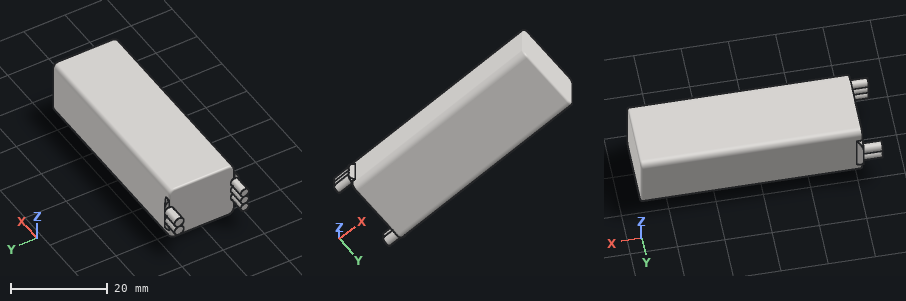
import cadquery as cq

overall_length = 51.0
lead_length = 4.05
case_width = 15.95
case_height = 13.5
case_edge_radius = 1.5
case_end_radius = 0.5
case_front = lead_length
case_length = overall_length - lead_length

small_lead_diameter = 2.0
small_lead_count = 3
large_lead_diameter = 2.25
large_lead_count = 2

lug_height = 9.05
small_lug_length = 0.95
small_lug_corner_radius = 1.95
large_lug_length = 1.35
large_lug_corner_radius = 2.5


def make_case():
    """Rounded box with its length along X."""
    case = cq.Workplane("XY").box(
        case_length, case_width, case_height, centered=(False, True, True)
    )
    case = case.translate((case_front, 0, 0))
    case = case.edges("|X").fillet(case_edge_radius)
    return case.faces("<X or >X").edges().fillet(case_end_radius)


def make_lug(side, depth, length, height, corner_radius):
    """Wedge on one side face (side is -1 or +1), flush with the front and sloping back to the case."""
    root = side * case_width / 2
    tip = root + side * depth
    wedge = (
        cq.Workplane("XY", origin=(0, 0, -height / 2))
        .moveTo(case_front, root)
        .lineTo(case_front, tip)
        .lineTo(case_front + length, root)
        .close()
        .extrude(height)
    )
    block_depth = 2 * corner_radius
    rounded_block = (
        cq.Workplane("XY")
        .box(length, block_depth, height, centered=(False, True, True))
        .edges("|X")
        .edges(">Y" if side > 0 else "<Y")
        .fillet(corner_radius)
        .translate((case_front, tip - side * block_depth / 2, 0))
    )
    return wedge.intersect(rounded_block)


def make_housing():
    small_lug = make_lug(
        -1, small_lead_diameter / 2, small_lug_length, lug_height, small_lug_corner_radius
    )
    large_lug = make_lug(
        1, large_lead_diameter / 2, large_lug_length, lug_height, large_lug_corner_radius
    )
    return make_case().union(small_lug).union(large_lug)


def make_leads(side, diameter, count):
    """Vertical row of touching round leads that end on the front of the housing."""
    leads = []
    for index in range(count):
        z = (index - (count - 1) / 2) * diameter
        lead = (
            cq.Workplane("YZ")
            .center(side * case_width / 2, z)
            .circle(diameter / 2)
            .extrude(lead_length)
        )
        leads.append(lead.val())
    return leads


housing = make_housing()
small_leads = make_leads(-1, small_lead_diameter, small_lead_count)
large_leads = make_leads(1, large_lead_diameter, large_lead_count)

result = cq.Compound.makeCompound([housing.val(), *small_leads, *large_leads])